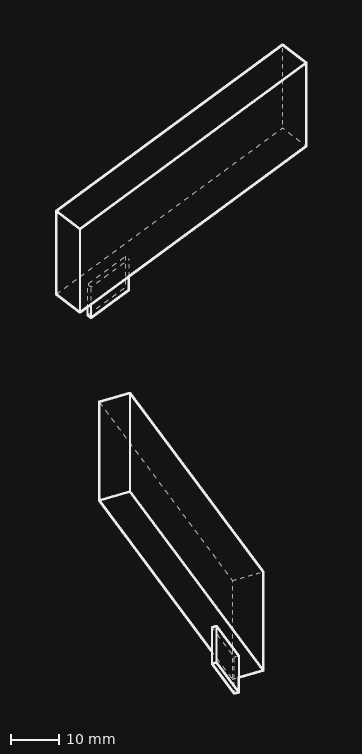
import cadquery as cq

housing_width = 7.0
housing_length = 65.5
housing_height = 26.1

total_height = 35.7
tab_height = total_height - housing_height
tab_thickness = 1.05
tab_length = 10.95
tab_end_offset = 6.55
tab_side_offset = 2.55


def make_housing():
    return cq.Workplane("XY").box(
        housing_width, housing_length, housing_height, centered=(True, True, False)
    )


def make_tab():
    """Plate whose top edge touches the underside of the housing."""
    tab_x = -housing_width / 2 + tab_side_offset
    tab_y = -housing_length / 2 + tab_end_offset
    return (
        cq.Workplane("XY")
        .box(tab_thickness, tab_length, tab_height, centered=False)
        .translate((tab_x, tab_y, -tab_height))
    )


housing = make_housing()
tab = make_tab()

result = cq.Compound.makeCompound([housing.val(), tab.val()])